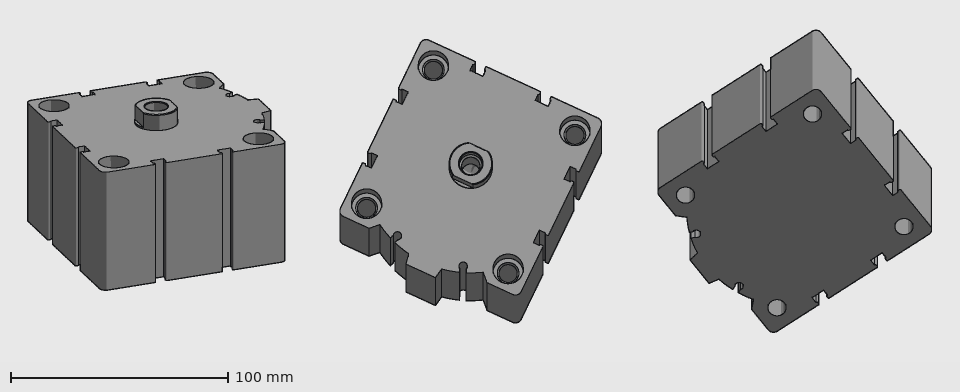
import cadquery as cq
import math

width = 92.0
half = width / 2
height = 59.0
corner_radius = 3.0

back_arc_radius = 49.8
shoulder_end = 30.0
rib_back = 54.0
rib_half_top = 7.5
rib_half_base = 8.4

slot_offset = 16.6
slot_mouth = 5.2
slot_inner = 6.5
slot_lip = 1.7
lip_radius = 0.4
slot_depth = 4.8

groove_angle = 21.0
groove_diameter = 3.8
groove_mouth = 3.0
groove_centre_radius = 46.7
groove_cut_radius = 52.0

bolt_spacing = 72.0
bolt_hole_diameter = 8.4
bolt_chamfer_diameter = 10.0
counterbore_diameter = 14.0
counterbore_depth = 9.0

rod_diameter = 20.0
rod_rise = 8.0
rod_floor = 10.0
rod_top = height + rod_rise
rod_chamfer = 0.4
flat_width = 17.0
flat_bottom = height + 0.8

entry_diameter = 10.5
entry_chamfer = 0.4
entry_depth = 4.9
drill_diameter = 8.4
drill_depth = 20.0
step_half_angle = 60.0
tip_half_angle = 59.0


def on_back_arc(x):
    """Point of the curved back wall at the given X."""
    return (x, math.sqrt(back_arc_radius**2 - x**2))


def mirrored(point):
    """The point on the other side of the YZ plane."""
    return (-point[0], point[1])


def make_block():
    gap = half - shoulder_end
    valley_x = (-gap + math.sqrt(2 * back_arc_radius**2 - gap**2)) / 2
    valley = on_back_arc(valley_x)
    rib_base = on_back_arc(rib_half_base)
    arc_middle = on_back_arc((valley_x + rib_half_base) / 2)
    block = (
        cq.Workplane("XY")
        .moveTo(-half, -half)
        .lineTo(half, -half)
        .lineTo(half, half)
        .lineTo(shoulder_end, half)
        .lineTo(*valley)
        .threePointArc(arc_middle, rib_base)
        .lineTo(rib_half_top, rib_back)
        .lineTo(-rib_half_top, rib_back)
        .lineTo(*mirrored(rib_base))
        .threePointArc(mirrored(arc_middle), mirrored(valley))
        .lineTo(-shoulder_end, half)
        .lineTo(-half, half)
        .close()
        .extrude(height)
    )
    return block.edges("|Z").edges("<X or >X").fillet(corner_radius)


def t_slot(offset, wall_angle):
    """T-slot cutter in the front wall at X = offset, turned about the rod axis."""
    mouth = slot_mouth / 2
    inner = slot_inner / 2
    rounded = mouth + lip_radius
    setback = lip_radius * (1 - math.sqrt(0.5))
    bulge = mouth + setback
    outer_bulge = setback
    inner_bulge = slot_lip - setback
    cutter = (
        cq.Workplane("XY")
        .moveTo(-rounded, 0)
        .threePointArc((-bulge, outer_bulge), (-mouth, lip_radius))
        .lineTo(-mouth, slot_lip - lip_radius)
        .threePointArc((-bulge, inner_bulge), (-rounded, slot_lip))
        .lineTo(-inner, slot_lip)
        .lineTo(-inner, slot_depth)
        .lineTo(inner, slot_depth)
        .lineTo(inner, slot_lip)
        .lineTo(rounded, slot_lip)
        .threePointArc((bulge, inner_bulge), (mouth, slot_lip - lip_radius))
        .lineTo(mouth, lip_radius)
        .threePointArc((bulge, outer_bulge), (rounded, 0))
        .close()
        .extrude(height)
    )
    return cutter.translate((offset, -half, 0)).rotate((0, 0, 0), (0, 0, 1), wall_angle)


def sensor_groove(angle):
    """Keyhole-shaped groove along +Y, turned about the rod axis."""
    bulb = (
        cq.Workplane("XY")
        .center(0, groove_centre_radius)
        .circle(groove_diameter / 2)
        .extrude(height)
    )
    neck = (
        cq.Workplane("XY")
        .box(groove_mouth, groove_cut_radius - groove_centre_radius, height, centered=(True, False, False))
        .translate((0, groove_centre_radius, 0))
    )
    return bulb.union(neck).rotate((0, 0, 0), (0, 0, 1), angle)


def bolt_hole(x, y):
    """Stepped through-hole with a countersunk edge on the counterbore floor."""
    hole_radius = bolt_hole_diameter / 2
    chamfer_radius = bolt_chamfer_diameter / 2
    bore_radius = counterbore_diameter / 2
    floor = height - counterbore_depth
    profile = [
        (0, 0),
        (hole_radius, 0),
        (hole_radius, floor - (chamfer_radius - hole_radius)),
        (chamfer_radius, floor),
        (bore_radius, floor),
        (bore_radius, height),
        (0, height),
    ]
    hole = cq.Workplane("XZ").polyline(profile).close().revolve(360, (0, 0), (0, 1))
    return hole.translate((x, y, 0))


def make_housing():
    housing = make_block()
    for wall_angle in (-90, 0, 90):
        for offset in (-slot_offset, slot_offset):
            housing = housing.cut(t_slot(offset, wall_angle))
    for angle in (-groove_angle, groove_angle):
        housing = housing.cut(sensor_groove(angle))
    for x in (-bolt_spacing / 2, bolt_spacing / 2):
        for y in (-bolt_spacing / 2, bolt_spacing / 2):
            housing = housing.cut(bolt_hole(x, y))
    rod_bore = (
        cq.Workplane("XY")
        .workplane(offset=rod_floor)
        .circle(rod_diameter / 2)
        .extrude(height - rod_floor)
    )
    return housing.cut(rod_bore)


def threaded_hole():
    """Stepped blind hole with conical step and tip, as one turned cutter."""
    entry_radius = entry_diameter / 2
    drill_radius = drill_diameter / 2
    step_drop = (entry_radius - drill_radius) / math.tan(math.radians(step_half_angle))
    tip_drop = drill_radius / math.tan(math.radians(tip_half_angle))
    profile = [
        (0, rod_top),
        (entry_radius + entry_chamfer, rod_top),
        (entry_radius, rod_top - entry_chamfer),
        (entry_radius, rod_top - entry_depth),
        (drill_radius, rod_top - entry_depth - step_drop),
        (drill_radius, rod_top - drill_depth),
        (0, rod_top - drill_depth - tip_drop),
    ]
    return cq.Workplane("XZ").polyline(profile).close().revolve(360, (0, 0), (0, 1))


def make_rod():
    rod = (
        cq.Workplane("XY")
        .workplane(offset=rod_floor)
        .circle(rod_diameter / 2)
        .extrude(rod_top - rod_floor)
        .faces(">Z")
        .chamfer(rod_chamfer)
    )
    flat_depth = (rod_diameter - flat_width) / 2
    flat_centre = (flat_width + flat_depth) / 2
    for side in (-1, 1):
        flat = (
            cq.Workplane("XY")
            .box(rod_diameter, flat_depth, rod_top - flat_bottom, centered=(True, True, False))
            .translate((0, side * flat_centre, flat_bottom))
        )
        rod = rod.cut(flat)
    return rod.cut(threaded_hole())


housing = make_housing()
rod = make_rod()
result = cq.Compound.makeCompound([housing.val(), rod.val()])